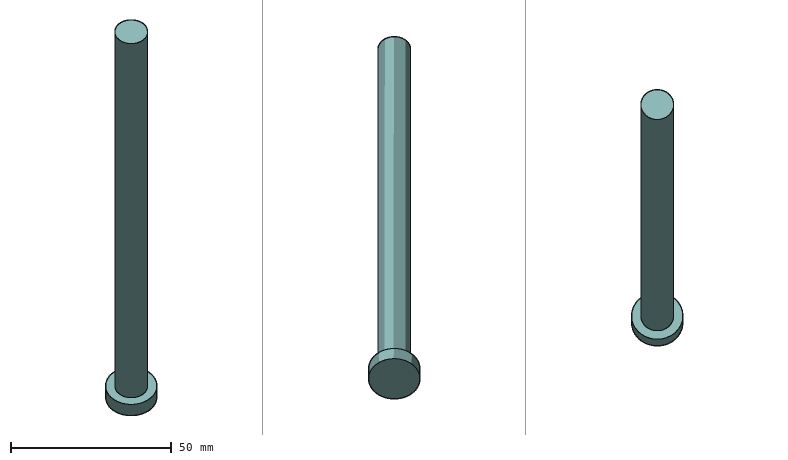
import cadquery as cq

total_length = 165.0
head_diameter = 16.0
head_height = 5.1
shank_diameter = 10.2
shank_length = total_length - head_height

head = cq.Workplane("XY").circle(head_diameter / 2).extrude(head_height)

result = head.faces(">Z").workplane().circle(shank_diameter / 2).extrude(shank_length)